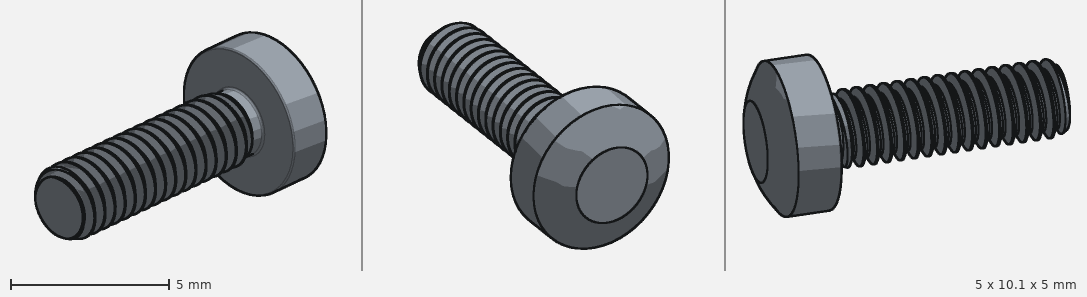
import cadquery as cq
import math


total_length = 10.1
head_radius = 5.0 / 2
head_height = 2.1
head_rim_height = 1.44
head_top_radius = 1.31
crown_bulge = 0.06
head_edge_fillet = 0.05

shank_length = total_length - head_height
neck_radius = 1.11
neck_length = 0.46
neck_fillet = 0.07

turns_along_shank = 17.8
pitch = shank_length / turns_along_shank
major_radius = 1.25
root_radius = 1.97 / 2
crest_width = pitch / 8
flank_half_angle = math.radians(30)
tip_radius = 1.08
tip_cone_angle = math.radians(30)
neck_cone_angle = math.radians(22.5)
tip_to_first_crest = 0.37

ridge_sink = 0.02
thread_overrun = 2.02
cutter_margin = 0.1


def make_head():
    """Cylindrical head with a rounded crown and a flat top."""
    crown_drop = head_height - head_rim_height
    crown_run = head_radius - head_top_radius
    crown_chord = math.hypot(crown_run, crown_drop)
    crown_mid = (
        (head_radius + head_top_radius) / 2 + crown_bulge * crown_drop / crown_chord,
        (head_height + head_rim_height) / 2 + crown_bulge * crown_run / crown_chord,
    )
    profile = (
        cq.Workplane("XZ")
        .lineTo(head_radius, 0)
        .lineTo(head_radius, head_rim_height)
        .threePointArc(crown_mid, (head_top_radius, head_height))
        .lineTo(0, head_height)
        .close()
    )
    head = profile.revolve(360, (0, 0, 0), (0, 1, 0))
    return head.faces("<Z").edges().fillet(head_edge_fillet)


def make_neck():
    """Plain neck under the head, flared by a fillet into the bearing face."""
    arc_offset = neck_fillet * (1 - math.sqrt(0.5))
    return (
        cq.Workplane("XZ")
        .lineTo(neck_radius + neck_fillet, 0)
        .threePointArc((neck_radius + arc_offset, -arc_offset), (neck_radius, -neck_fillet))
        .lineTo(neck_radius, -neck_length)
        .lineTo(0, -neck_length)
        .close()
        .revolve(360, (0, 0, 0), (0, 1, 0))
    )


def make_ridge():
    """Right-hand helical ridge that overruns both ends of the thread."""
    start = -shank_length + tip_to_first_crest - 2 * pitch
    inner_radius = root_radius - ridge_sink
    crest_half = crest_width / 2
    base_half = crest_half + (major_radius - inner_radius) * math.tan(flank_half_angle)
    path = cq.Wire.makeHelix(pitch, -start, inner_radius, cq.Vector(0, 0, start))
    return (
        cq.Workplane("XZ")
        .moveTo(inner_radius, start - base_half)
        .lineTo(major_radius, start - crest_half)
        .lineTo(major_radius, start + crest_half)
        .lineTo(inner_radius, start + base_half)
        .close()
        .sweep(cq.Workplane(path), isFrenet=True)
    )


def make_end_cutter(end_z, end_radius, cone_angle, inward):
    """Everything past one end of the thread, with a conical mouth that tapers the crests.

    The direction from the end into the thread is +1 for the tip and -1 for the neck.
    """
    outer_radius = major_radius + cutter_margin
    cone_length = (outer_radius - end_radius) / math.tan(cone_angle)
    far_z = end_z - inward * thread_overrun
    return (
        cq.Workplane("XZ")
        .moveTo(0, end_z)
        .lineTo(end_radius, end_z)
        .lineTo(outer_radius, end_z + inward * cone_length)
        .lineTo(outer_radius, far_z)
        .lineTo(0, far_z)
        .close()
        .revolve(360, (0, 0, 0), (0, 1, 0))
    )


def make_thread():
    """Threaded core trimmed to run from the neck to the tip, tapered at both ends."""
    core = (
        cq.Workplane("XY", origin=(0, 0, thread_overrun / 2))
        .circle(root_radius)
        .extrude(-shank_length - thread_overrun)
    )
    overlong_thread = core.union(make_ridge(), clean=False)
    tip_cutter = make_end_cutter(-shank_length, tip_radius, tip_cone_angle, 1)
    neck_cutter = make_end_cutter(-neck_length, neck_radius, neck_cone_angle, -1)
    return overlong_thread.cut(tip_cutter, clean=False).cut(neck_cutter, clean=False)


screw = make_thread().union(make_neck(), clean=False).union(make_head(), clean=False)
result = cq.Workplane(screw.solids().val()).rotate((0, 0, 0), (1, 0, 0), -90)